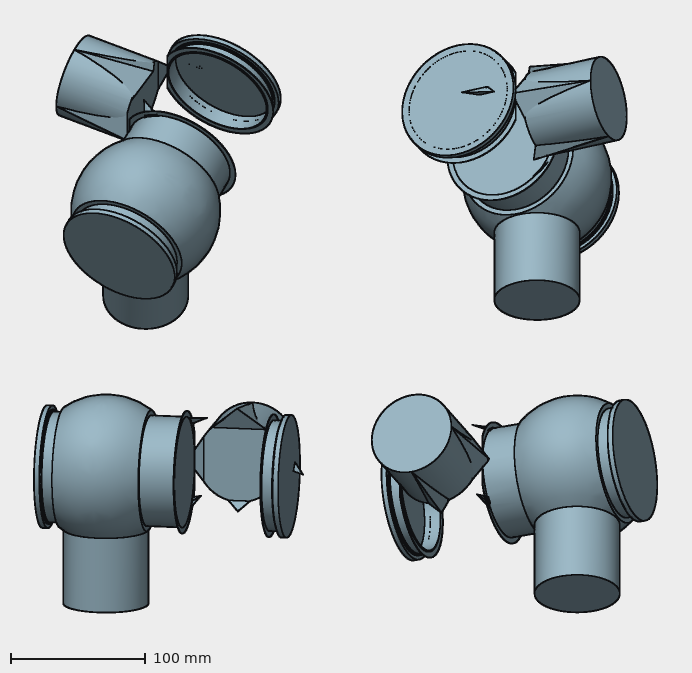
import cadquery as cq
import math

ball_radius = 55.5
ball_half_width = 32.5
pipe_radius = 31.7
pipe_reach = 102.0
station_spacing = 92.0
neck_radius = 41.2
flange_radius = 45.6
flange_thickness = 4.0
flange_step_radius = 42.5
flange_step = 1.2
flange_face = 46.0
rim_thickness = 0.4
rim_trim_x = -41.4
cup_wall = 1.0
cup_floor = 1.0
side_pipe_mouth_x = -46.0

neck_end_y = station_spacing - ball_half_width
cup_mouth_y = station_spacing + ball_half_width
cup_face_y = station_spacing + flange_face
overall_depth = 193.2
fin_tip_y = overall_depth - flange_face


def disc(radius, y_start, y_end):
    """Cylinder about the Y axis."""
    axis = cq.Vector(0, 1, 0)
    return cq.Workplane(cq.Solid.makeCylinder(radius, y_end - y_start, cq.Vector(0, y_start, 0), axis))


def tetrahedron(a, b, c, d):
    """Solid spike with four corner points."""
    faces = []
    for corners in ((a, b, c), (a, b, d), (a, c, d), (b, c, d)):
        wire = cq.Wire.makePolygon([cq.Vector(*p) for p in corners], close=True)
        faces.append(cq.Face.makeFromWires(wire))
    return cq.Workplane(cq.Solid.makeSolid(cq.Shell.makeShell(faces)).fix())


def rim(y_start):
    """Thin collar round a neck, trimmed flat beside the side pipe."""
    size = 2 * flange_radius
    keep = cq.Workplane().box(size, size, size, centered=(False, True, True))
    keep = keep.translate((rim_trim_x, y_start, 0))
    return disc(flange_radius, y_start, y_start + rim_thickness).intersect(keep)


def closed_ball():
    """Truncated ball with its front flange, rear neck and downward pipe."""
    ball = cq.Workplane().sphere(ball_radius)
    ball = ball.intersect(disc(ball_radius + 2, -ball_half_width, ball_half_width))
    pipe_seat = math.sqrt(ball_radius**2 - pipe_radius**2)
    trim = cq.Workplane().box(2 * ball_radius, 2 * ball_radius, ball_radius, centered=(True, True, False))
    ball = ball.cut(trim.translate((0, 0, -pipe_seat - ball_radius)))
    flange_inner_y = -flange_face + flange_thickness
    ball = ball.union(disc(neck_radius, -flange_face, neck_end_y))
    ball = ball.union(disc(flange_radius, -flange_face, flange_inner_y))
    ball = ball.union(disc(flange_step_radius, -flange_face, flange_inner_y + flange_step))
    pipe = cq.Workplane().circle(pipe_radius).extrude(-pipe_reach)
    return ball.union(pipe).union(rim(neck_end_y - rim_thickness))


def rear_cup():
    """Rear flange with a short neck, open towards the front."""
    flange_inner_y = cup_face_y - flange_thickness
    cup = disc(neck_radius, cup_mouth_y, cup_face_y)
    cup = cup.union(disc(flange_radius, flange_inner_y, cup_face_y))
    cup = cup.union(disc(flange_step_radius, flange_inner_y - flange_step, cup_face_y))
    cup = cup.union(rim(cup_mouth_y))
    return cup.cut(disc(neck_radius - cup_wall, cup_mouth_y, cup_face_y - cup_floor))


def side_pipe():
    """Pipe towards -X whose inner end flares into four pointed corners."""
    length = pipe_reach + side_pipe_mouth_x
    pipe = cq.Workplane("YZ").circle(pipe_radius).extrude(length).translate((-pipe_reach, 0, 0))
    corners = (
        (0, -40.5, 38.0, 33),
        (90, -37.3, 41.4, 40),
        (180, -40.5, 38.0, 33),
        (270, -40.5, 37.7, 15),
    )
    for direction, tip_x, tip_radius, root_half_angle in corners:

        def point(x, radius, offset=0):
            angle = math.radians(direction + offset)
            return (x, radius * math.cos(angle), radius * math.sin(angle))

        pipe = pipe.union(
            tetrahedron(
                point(-pipe_reach, pipe_radius),
                point(side_pipe_mouth_x, pipe_radius, -root_half_angle),
                point(side_pipe_mouth_x, pipe_radius, root_half_angle),
                point(tip_x, tip_radius),
            )
        )
    return pipe.translate((0, station_spacing, 0))


def spikes():
    """Pointed fins on the neck end and on the rear flange face."""
    neck_root_y = neck_end_y - 2
    cup_root_y = cup_face_y - cup_floor / 2
    upper = tetrahedron(
        (-34.5, 70.0, 34.0),
        (-28.0, neck_root_y, 29.5),
        (-23.2, neck_root_y, 33.6),
        (-16.0, neck_root_y, 37.7),
    )
    lower = tetrahedron(
        (-39.0, 64.5, -26.3),
        (-31.0, neck_root_y, -26.3),
        (-28.0, neck_root_y, -29.8),
        (-19.3, neck_root_y, -34.8),
    )
    rear = tetrahedron(
        (-7.5, fin_tip_y, 0),
        (-31.0, cup_root_y, 0),
        (-18.4, cup_root_y, 0),
        (-25.1, cup_root_y, 5.8),
    )
    return upper, lower, rear


body = closed_ball().union(rear_cup()).union(side_pipe())
for spike in spikes():
    body = body.union(spike)

result = body